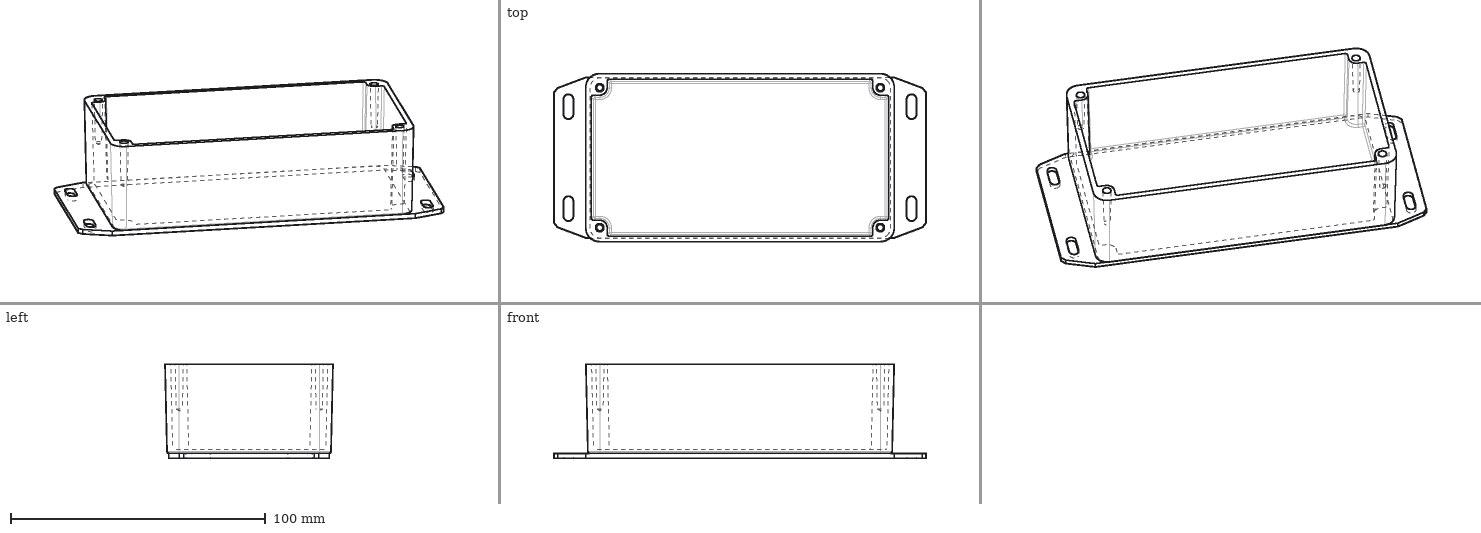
import cadquery as cq
import math

plate_length = 146.0
plate_width = 63.1
plate_thickness = 1.9
plate_shoulder_x = 60.5
plate_corner_x = 71.5
plate_corner_width = 54.8
plate_end_width = 51.3

slot_x = 67.3
slot_y = 20.0
slot_length = 9.6
slot_width = 3.8

total_height = 37.0
box_length = 121.1
box_width = 66.0
box_corner_radius = 5.4
box_draft_angle = 1.3
box_bottom_radius = 0.9

wall = 2.2
floor_z = 3.5
cavity_draft_angle = 1.3
cavity_floor_radius = 0.9
cavity_corner_radius = 0.9

screw_x = 55.0
screw_y = 27.5
post_radius = 2.9
hole_mouth_diameter = 3.2
hole_bottom_diameter = 2.5
hole_depth = 17.5
drill_point_angle = 118.0

box_height = total_height - plate_thickness
corner_signs = [(sx, sy) for sx in (-1, 1) for sy in (-1, 1)]


def at_corners(x, y):
    """Four points mirrored about both centre planes."""
    return [(sx * x, sy * y) for sx, sy in corner_signs]


def make_plate():
    """Flat plate whose ends taper outside the box, with clipped end corners."""
    quarter = [
        (plate_shoulder_x, plate_width / 2),
        (plate_corner_x, plate_corner_width / 2),
        (plate_length / 2, plate_end_width / 2),
    ]
    right_end = quarter + [(x, -y) for x, y in reversed(quarter)]
    outline = right_end + [(-x, -y) for x, y in right_end]
    plate = cq.Workplane("XY").polyline(outline).close().extrude(plate_thickness)
    slots = (
        cq.Workplane("XY")
        .pushPoints(at_corners(slot_x, slot_y))
        .slot2D(slot_length, slot_width, 90)
        .extrude(plate_thickness)
    )
    return plate.cut(slots)


def make_box():
    """Solid block, widest at the rim, with a rounded bottom edge."""
    rim = cq.Sketch().rect(box_length, box_width).vertices().fillet(box_corner_radius)
    box = (
        cq.Workplane("XY", origin=(0, 0, total_height))
        .placeSketch(rim)
        .extrude(-box_height, taper=box_draft_angle)
    )
    return box.faces("<Z").edges().fillet(box_bottom_radius)


def make_cavity():
    """Drafted pocket whose corners step around the four screw posts."""
    post_size = 4 * post_radius
    post = cq.Sketch().rect(post_size, post_size).vertices().fillet(post_radius)
    mouth = (
        cq.Sketch()
        .rect(box_length - 2 * wall, box_width - 2 * wall)
        .push(at_corners(screw_x + post_radius, screw_y + post_radius))
        .face(post, mode="s")
        .reset()
    )
    cavity = (
        cq.Workplane("XY", origin=(0, 0, total_height))
        .placeSketch(mouth)
        .extrude(floor_z - total_height, taper=cavity_draft_angle)
    )
    cavity = cavity.edges("%LINE and (not (#X or #Y or #Z))").fillet(cavity_corner_radius)
    return cavity.faces("<Z").edges().fillet(cavity_floor_radius)


def make_screw_holes():
    """Blind tapered holes with drill-point bottoms, one in each post."""
    mouth_radius = hole_mouth_diameter / 2
    bottom_radius = hole_bottom_diameter / 2
    point_depth = bottom_radius / math.tan(math.radians(drill_point_angle / 2))
    profile = [
        (0, 0),
        (mouth_radius, 0),
        (bottom_radius, -hole_depth),
        (0, -hole_depth - point_depth),
    ]
    hole = cq.Workplane("XZ").polyline(profile).close().revolve(360, (0, 0, 0), (0, 1, 0))
    holes = cq.Workplane("XY")
    for x, y in at_corners(screw_x, screw_y):
        holes = holes.add(hole.translate((x, y, total_height)))
    return holes.combine()


result = make_plate().union(make_box()).cut(make_cavity()).cut(make_screw_holes())